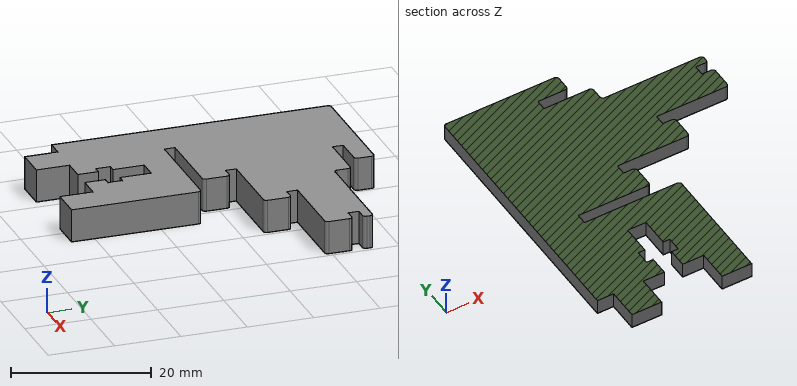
import cadquery as cq

thickness = 5.0
height = 47.0
corner_radius = 0.5

slot_width = 1.6
slot_pitch = 5.7
first_slot_y = 19.6
first_slot_x = 6.8
step_length = 10.0
lip_length = 2.0
stair_slot_count = 4
top_slot_x = 14.0

top_arm_x = 19.0
shoulder_x = 22.0
shoulder_y = 39.8

leg_length = 5.0
leg_width = 5.0
left_leg_x = 2.7
leg_spacing = 15.0
base_x = left_leg_x + leg_spacing + leg_width

bolt_x = left_leg_x + (leg_spacing + leg_width) / 2
bolt_slot_width = 3.0
bolt_slot_depth = 10.0
nut_pocket_width = 5.2
nut_pocket_height = 2.2
nut_pocket_y = 8.1


def slot_y(index):
    """Lower edge of a slot, counted from the lowest one."""
    return first_slot_y + index * slot_pitch


def slot_end_x(index):
    """Closed end of a staircase slot."""
    return first_slot_x + index * step_length


def step_x(index):
    """Free end of the step just below a staircase slot."""
    if index == 0:
        return base_x
    return slot_end_x(index) + lip_length


def block(x_min, x_max, y_min, y_max):
    """Full-thickness block between the given X and Y limits."""
    corner_block = cq.Workplane("XY").box(x_max - x_min, y_max - y_min, thickness, centered=False)
    return corner_block.translate((x_min, y_min, 0))


def stepped_plate():
    """Plate with the slotted staircase on its right side and its free corners rounded."""
    outline = [(0, leg_length), (base_x, leg_length)]
    rounded = []

    def add_sharp(x, y):
        outline.append((x, y))

    def add_rounded(x, y):
        outline.append((x, y))
        rounded.append((x, y))

    for index in range(stair_slot_count):
        next_step_x = step_x(min(index + 1, stair_slot_count - 1))
        add_rounded(step_x(index), slot_y(index))
        add_sharp(slot_end_x(index), slot_y(index))
        add_sharp(slot_end_x(index), slot_y(index) + slot_width)
        add_rounded(next_step_x, slot_y(index) + slot_width)

    top_slot_y = slot_y(stair_slot_count)
    add_rounded(step_x(stair_slot_count - 1), shoulder_y)
    add_rounded(shoulder_x, shoulder_y)
    add_rounded(shoulder_x, top_slot_y)
    add_sharp(top_slot_x, top_slot_y)
    add_sharp(top_slot_x, top_slot_y + slot_width)
    add_rounded(top_arm_x, top_slot_y + slot_width)
    add_rounded(top_arm_x, height)
    add_rounded(0, height)

    plate = cq.Workplane("XY").polyline(outline).close().extrude(thickness)
    corner_edges = cq.Workplane("XY")
    for x, y in rounded:
        corner_edges = corner_edges.add(plate.edges(cq.NearestToPointSelector((x, y, thickness / 2))))
    return plate.newObject(corner_edges.vals()).fillet(corner_radius)


def legs():
    """Pair of square legs under the base."""
    left_leg = block(left_leg_x, left_leg_x + leg_width, 0, leg_length)
    return left_leg.union(left_leg.translate((leg_spacing, 0, 0)))


def bolt_cutout():
    """Bolt slot rising from the base edge, crossed by the nut pocket."""
    half_slot = bolt_slot_width / 2
    half_nut = nut_pocket_width / 2
    slot = block(bolt_x - half_slot, bolt_x + half_slot, leg_length, leg_length + bolt_slot_depth)
    pocket = block(bolt_x - half_nut, bolt_x + half_nut, nut_pocket_y, nut_pocket_y + nut_pocket_height)
    return slot.union(pocket)


result = stepped_plate().union(legs()).cut(bolt_cutout())